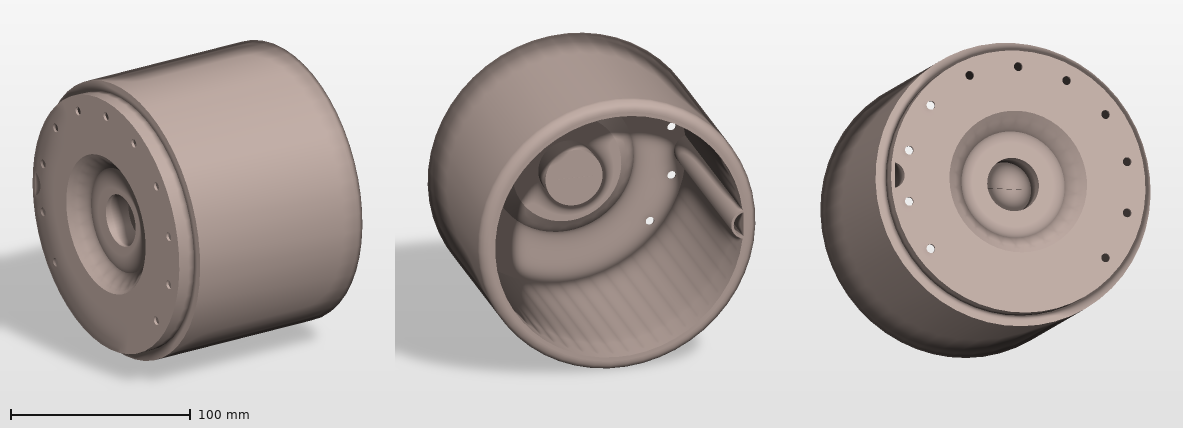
import cadquery as cq
import math

body_diameter = 160.0
total_length = 121.0
rear_fillet = 6.0
spigot_diameter = 148.0
spigot_length = 10.0

dish_mouth_diameter = 80.0
dish_floor_diameter = 60.0
dish_depth = 10.0
bore_diameter = 30.0
bore_depth = 15.0

slit_length = 22.4
slit_height = 0.2

bolt_hole_diameter = 5.0
bolt_circle_diameter = 130.0
bolt_pitch_count = 14
omitted_bolt_positions = (6, 7, 8)

cavity_diameter = 143.4
wall = 1.5

notch_diameter = 14.7
notch_flat_x = -cavity_diameter / 2
notch_centre_x = -73.5

front_y = -total_length / 2


def cylinder(diameter, start_y, length, x=0.0, z=0.0):
    """Cylinder along +Y, starting at start_y."""
    direction = cq.Vector(0, 1, 0)
    solid = cq.Solid.makeCylinder(diameter / 2, length, cq.Vector(x, start_y, z), direction)
    return cq.Workplane(obj=solid)


def make_drum():
    """Main body with a rounded rear rim and a smaller front spigot."""
    body = cylinder(body_diameter, front_y + spigot_length, total_length - spigot_length)
    body = body.faces(">Y").edges().fillet(rear_fillet)
    return body.union(cylinder(spigot_diameter, front_y, spigot_length))


def make_centre_form(offset):
    """Dish and bore grown outward and deepened by offset; zero gives the recess itself."""
    cone = cq.Solid.makeCone(
        dish_mouth_diameter / 2 + offset,
        dish_floor_diameter / 2 + offset,
        dish_depth,
        cq.Vector(0, front_y + offset, 0),
        cq.Vector(0, 1, 0),
    )
    bore = cylinder(bore_diameter + 2 * offset, front_y, dish_depth + bore_depth + offset)
    return bore.union(cq.Workplane(obj=cone))


def make_slit():
    """Thin slit through the floor of the bore."""
    return cq.Workplane().box(slit_length, total_length, slit_height)


def make_bolt_holes():
    """Through holes on an even pitch, clockwise from the top, with a gap at the bottom."""
    holes = cq.Workplane()
    radius = bolt_circle_diameter / 2
    for position in range(bolt_pitch_count):
        if position in omitted_bolt_positions:
            continue
        angle = 2 * math.pi * position / bolt_pitch_count
        x = radius * math.sin(angle)
        z = radius * math.cos(angle)
        holes = holes.add(cylinder(bolt_hole_diameter, front_y, total_length, x, z))
    return holes.combine()


def make_notch(offset):
    """Circle segment along the drum, grown by offset, with its flat on the outer side."""
    circle = cylinder(notch_diameter + 2 * offset, front_y, total_length, notch_centre_x)
    inner_side = (
        cq.Workplane()
        .box(body_diameter, total_length, body_diameter, centered=(False, True, True))
        .translate((notch_flat_x, 0, 0))
    )
    return circle.intersect(inner_side)


def make_cavity():
    """Hollow open at the rear, leaving walls around the dish, bore and notch."""
    cavity = cylinder(cavity_diameter, front_y + wall, total_length - wall)
    return cavity.cut(make_centre_form(wall)).cut(make_notch(wall))


result = (
    make_drum()
    .cut(make_cavity())
    .cut(make_centre_form(0))
    .cut(make_slit())
    .cut(make_bolt_holes())
    .cut(make_notch(0))
)